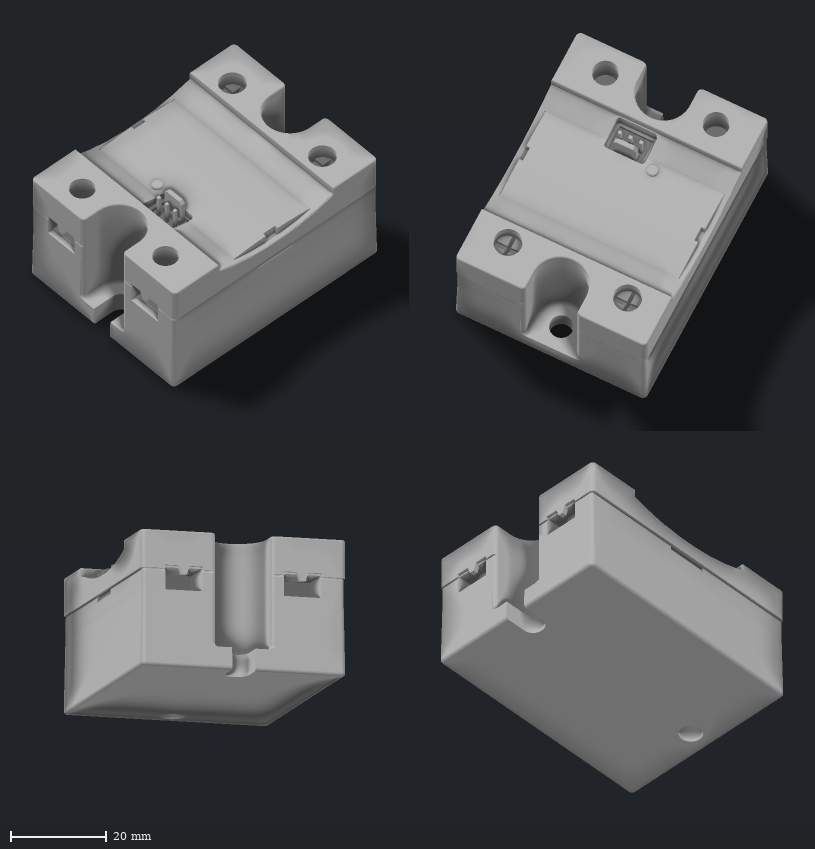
import cadquery as cq
import math

WIDTH = 44.8
LENGTH = 58.2
HOUSING_TOP = 29.1
CORNER_RADIUS = 1.1

COLLAR_BOTTOM = 16.3
SEAM_BOTTOM = 20.4
SEAM_TOP = 20.9
DRAFT_INSET = 0.35
SEAM_CHAMFER = 0.35
BASE_EDGE_FILLET = 0.7
FOOT_HEIGHT = 0.8

LID_LENGTH = LENGTH - 0.5
LID_EDGE_FILLET = 0.4
VALLEY_RIM_FILLET = 0.3

VALLEY_HALF = 16.2
VALLEY_EDGE_Z = 27.2
VALLEY_LOW_Z = 24.55

NOTCH_RADIUS = 6.05
NOTCH_CENTRE_Y = 24.2
NOTCH_FLOOR_Z = 4.75
NOTCH_FLARE = 0.9
NOTCH_FLOOR_FILLET = 1.0
MOUNT_HOLE_DIAMETER = 5.1
MOUNT_HOLE_Y = 23.75

TERMINAL_X = 13.0
TERMINAL_WIDTH = 8.2
TERMINAL_FLOOR_Z = 16.4
TERMINAL_CEILING_Z = 21.65
TERMINAL_INNER_CEILING_Z = 21.25
TERMINAL_LIP_DEPTH = 0.7
TERMINAL_BACK_Y = -19.95
TERMINAL_STEP_DEPTH = 1.75
TERMINAL_STEP_HEIGHT = 0.3
TOOTH_ROOT_WIDTH = 2.45
TOOTH_TIP_WIDTH = 1.1
TOOTH_TIP_Z = 19.8
TOOTH_LENGTH = 1.15
INPUT_HOLE_DIAMETER = 5.65
INPUT_HOLE_Y = -22.8

SCREW_X = 14.0
SCREW_Y = 20.65
SCREW_HOLE_DIAMETER = 6.1
SCREW_HEAD_Z = 25.5
SCREW_SLOT_WIDTH = 1.1
SCREW_SLOT_DEPTH = 0.9
SCREW_GROOVE_WIDTH = 0.9
SCREW_GROOVE_DEPTH = 3.5

PLATE_HALF_WIDTH = 20.95
PLATE_HALF_LENGTH = 10.7
PLATE_CREST_Z = 26.3
PLATE_BOTTOM_Z = 23.85
PLATE_SIDE_GAP = 0.25
PLATE_GAP_DEPTH = 0.3
NICK_LENGTH = 3.3
NICK_WIDTH = 0.9

LAMP_X = -5.25
LAMP_Y = -8.55
LAMP_DIAMETER = 2.6
LAMP_TOP_Z = 26.5
LAMP_EDGE_FILLET = 0.4

SOCKET_X = 1.85
SOCKET_Y = -12.45
SOCKET_WIDTH = 9.55
SOCKET_LENGTH = 7.0
SOCKET_LEDGE_Z = 24.15
SOCKET_FLOOR_Z = 23.3
SOCKET_CORNER_RADIUS = 0.75
INNER_WELL_WIDTH = 7.9
INNER_WELL_LENGTH = 5.95
INNER_WELL_Y = -12.35
TAB_WIDTH = 5.25
TAB_THICKNESS = 1.05
TAB_Y = -10.1
TAB_TOP_Z = 29.6
TAB_CHAMFER = 0.7
TAB_FOOT_THICKNESS = 0.6
TAB_FOOT_TOP_Z = 24.7
PIN_SIZE = 0.75
PIN_PITCH = 2.5
PIN_Y = -12.35
PIN_TOP_Z = 28.7

LATCH_LENGTH = 9.9
LATCH_BOTTOM_Z = 19.3
LATCH_DEPTH = 0.95


def block(width, length, height, x=0.0, y=0.0, z=0.0):
    """Box centred on x, y and standing on z."""
    return cq.Workplane("XY").box(width, length, height, centered=(True, True, False)).translate((x, y, z))


def cylinder(diameter, bottom, top, x, y):
    return cq.Workplane("XY", origin=(x, y, bottom)).circle(diameter / 2).extrude(top - bottom)


def cross_section(points, half_width):
    """Prism along X, centred, from a polygon of (y, z) points."""
    return cq.Workplane("YZ").polyline(points).close().extrude(half_width, both=True)


def base():
    draft_height = COLLAR_BOTTOM - FOOT_HEIGHT
    draft_angle = math.degrees(math.atan(DRAFT_INSET / draft_height))
    foot = block(WIDTH, LENGTH, FOOT_HEIGHT).edges("|Z").fillet(CORNER_RADIUS)
    shell = foot.faces(">Z").wires().toPending().workplane().extrude(draft_height, taper=draft_angle)
    shell = shell.faces("<Z").edges().fillet(BASE_EDGE_FILLET)
    collar_height = SEAM_TOP - COLLAR_BOTTOM
    collar = block(WIDTH - 2 * DRAFT_INSET, LENGTH - 2 * DRAFT_INSET, collar_height, z=COLLAR_BOTTOM)
    collar = collar.edges("|Z").fillet(CORNER_RADIUS - DRAFT_INSET)
    collar = collar.faces(">Z").edges().chamfer(SEAM_TOP - SEAM_BOTTOM, SEAM_CHAMFER)
    return shell.union(collar)


def valley():
    return (
        cq.Workplane("YZ")
        .moveTo(-VALLEY_HALF, HOUSING_TOP)
        .lineTo(-VALLEY_HALF, VALLEY_EDGE_Z)
        .threePointArc((0, VALLEY_LOW_Z), (VALLEY_HALF, VALLEY_EDGE_Z))
        .lineTo(VALLEY_HALF, HOUSING_TOP)
        .close()
        .extrude(WIDTH, both=True)
    )


def notch():
    """U-shaped notch at the -Y end, with a flared mouth."""
    mouth_y = -LENGTH / 2 + DRAFT_INSET
    flare_half = NOTCH_RADIUS + NOTCH_FLARE
    flare_mid = NOTCH_FLARE * (1 - math.sqrt(0.5))
    outside_y = mouth_y - 2 * NOTCH_FLOOR_FILLET
    arc_end_y = mouth_y + NOTCH_FLARE
    profile = (
        cq.Workplane("XY", origin=(0, 0, NOTCH_FLOOR_Z))
        .moveTo(-flare_half, outside_y)
        .lineTo(-flare_half, mouth_y)
        .threePointArc((-NOTCH_RADIUS - flare_mid, mouth_y + flare_mid), (-NOTCH_RADIUS, arc_end_y))
        .lineTo(-NOTCH_RADIUS, -NOTCH_CENTRE_Y)
        .threePointArc((0, NOTCH_RADIUS - NOTCH_CENTRE_Y), (NOTCH_RADIUS, -NOTCH_CENTRE_Y))
        .lineTo(NOTCH_RADIUS, arc_end_y)
        .threePointArc((NOTCH_RADIUS + flare_mid, mouth_y + flare_mid), (flare_half, mouth_y))
        .lineTo(flare_half, outside_y)
        .close()
    )
    return profile.extrude(HOUSING_TOP - NOTCH_FLOOR_Z)


def rounded_notch():
    """The notch with its floor blended into its walls."""
    return notch().faces("<Z").edges("not(<Y)").fillet(NOTCH_FLOOR_FILLET)


def at_both_ends(cutter):
    """The given shape together with its mirror image at the other Y end."""
    return cutter.union(cutter.mirror("XZ"))


def lid():
    body = block(WIDTH, LID_LENGTH, HOUSING_TOP - SEAM_TOP, z=SEAM_TOP)
    body = body.edges("|Z").fillet(CORNER_RADIUS)
    body = body.cut(valley()).cut(at_both_ends(notch()))
    body = body.faces("<X or >X").edges("%CIRCLE").fillet(VALLEY_RIM_FILLET)
    return body.faces(">Z").edges().fillet(LID_EDGE_FILLET)


def mounting_holes():
    rear = cylinder(MOUNT_HOLE_DIAMETER, 0, HOUSING_TOP, 0, MOUNT_HOLE_Y)
    front = cylinder(MOUNT_HOLE_DIAMETER, 0, HOUSING_TOP, 0, -MOUNT_HOLE_Y)
    slot_length = LENGTH - MOUNT_HOLE_Y
    slot = block(MOUNT_HOLE_DIAMETER, slot_length, HOUSING_TOP, y=-MOUNT_HOLE_Y - slot_length / 2)
    return rear.union(front).union(slot)


def terminal(x):
    """Wire opening with a stepped floor and ceiling, reached by a screwdriver hole from above."""
    depth = LENGTH / 2 + TERMINAL_BACK_Y
    inner_height = TERMINAL_INNER_CEILING_Z - TERMINAL_FLOOR_Z
    cavity = block(TERMINAL_WIDTH, depth, inner_height, x, TERMINAL_BACK_Y - depth / 2, TERMINAL_FLOOR_Z)
    mouth_length = LENGTH / 2 - LID_LENGTH / 2 + TERMINAL_LIP_DEPTH
    mouth_height = TERMINAL_CEILING_Z - TERMINAL_FLOOR_Z
    mouth_y = (mouth_length - LENGTH) / 2
    mouth = block(TERMINAL_WIDTH, mouth_length, mouth_height, x, mouth_y, TERMINAL_FLOOR_Z)
    step_length = depth - TERMINAL_STEP_DEPTH
    step_y = TERMINAL_BACK_Y - step_length / 2
    step = block(TERMINAL_WIDTH, step_length, TERMINAL_STEP_HEIGHT, x, step_y, TERMINAL_FLOOR_Z)
    hole_bottom = TERMINAL_FLOOR_Z + TERMINAL_STEP_HEIGHT
    hole = cylinder(INPUT_HOLE_DIAMETER, hole_bottom, HOUSING_TOP, x, INPUT_HOLE_Y)
    return cavity.union(mouth).cut(step).union(hole)


def clamp_tooth(x):
    """Tapered tooth hanging from the lid into the wire opening."""
    return (
        cq.Workplane("XZ", origin=(x, -LID_LENGTH / 2, 0))
        .moveTo(-TOOTH_ROOT_WIDTH / 2, TERMINAL_CEILING_Z)
        .lineTo(-TOOTH_TIP_WIDTH / 2, TOOTH_TIP_Z)
        .lineTo(TOOTH_TIP_WIDTH / 2, TOOTH_TIP_Z)
        .lineTo(TOOTH_ROOT_WIDTH / 2, TERMINAL_CEILING_Z)
        .close()
        .extrude(-TOOTH_LENGTH)
    )


def screw_recess(x):
    """Round hole whose floor is a cross-slotted screw head."""
    half = SCREW_HOLE_DIAMETER / 2
    hole = cylinder(SCREW_HOLE_DIAMETER, SCREW_HEAD_Z, HOUSING_TOP, x, SCREW_Y)
    slot_floor = SCREW_HEAD_Z - SCREW_SLOT_DEPTH
    slot = block(SCREW_HOLE_DIAMETER, SCREW_SLOT_WIDTH, SCREW_SLOT_DEPTH, x, SCREW_Y, slot_floor)
    groove_points = [
        (SCREW_Y - half, SCREW_HEAD_Z),
        (SCREW_Y, SCREW_HEAD_Z - SCREW_GROOVE_DEPTH),
        (SCREW_Y + half, SCREW_HEAD_Z),
    ]
    groove = cross_section(groove_points, SCREW_GROOVE_WIDTH / 2).translate((x, 0, 0))
    return hole.union(slot).union(groove)


def latch_slot(side):
    """Release slot whose face slopes inward up to the lid."""
    face_x = WIDTH / 2 - DRAFT_INSET
    wedge = (
        cq.Workplane("XZ")
        .moveTo(face_x, LATCH_BOTTOM_Z)
        .lineTo(face_x - LATCH_DEPTH, SEAM_TOP)
        .lineTo(WIDTH / 2, SEAM_TOP)
        .lineTo(WIDTH / 2, LATCH_BOTTOM_Z)
        .close()
        .extrude(LATCH_LENGTH / 2, both=True)
    )
    return wedge if side > 0 else wedge.mirror("YZ")


def valley_height(y):
    """Height of the valley surface at a distance y from its lowest line."""
    rise = VALLEY_EDGE_Z - VALLEY_LOW_Z
    radius = (VALLEY_HALF**2 + rise**2) / (2 * rise)
    return VALLEY_LOW_Z + radius - math.sqrt(radius**2 - y**2)


def plate_gap():
    """Shallow recess that leaves a narrow gap along both ends of the label plate."""
    half_width = PLATE_HALF_WIDTH + PLATE_SIDE_GAP
    area = block(2 * half_width, 2 * PLATE_HALF_LENGTH, HOUSING_TOP - PLATE_BOTTOM_Z, z=PLATE_BOTTOM_Z)
    return valley().translate((0, 0, -PLATE_GAP_DEPTH)).intersect(area)


def label_plate():
    edge_z = valley_height(PLATE_HALF_LENGTH)
    plate = (
        cq.Workplane("YZ")
        .moveTo(-PLATE_HALF_LENGTH, PLATE_BOTTOM_Z)
        .lineTo(-PLATE_HALF_LENGTH, edge_z)
        .threePointArc((0, PLATE_CREST_Z), (PLATE_HALF_LENGTH, edge_z))
        .lineTo(PLATE_HALF_LENGTH, PLATE_BOTTOM_Z)
        .close()
        .extrude(PLATE_HALF_WIDTH, both=True)
    )
    nick_x = PLATE_HALF_WIDTH - NICK_WIDTH / 2
    nick = block(NICK_WIDTH, NICK_LENGTH, PLATE_CREST_Z - PLATE_BOTTOM_Z, nick_x, 0, PLATE_BOTTOM_Z)
    return plate.cut(nick).cut(nick.mirror("YZ"))


def lamp():
    post = cylinder(LAMP_DIAMETER, PLATE_BOTTOM_Z, LAMP_TOP_Z, LAMP_X, LAMP_Y)
    return post.faces(">Z").edges().fillet(LAMP_EDGE_FILLET)


def socket():
    """Opening with rounded corners, stepping in to a smaller well at the bottom."""
    opening_depth = HOUSING_TOP - SOCKET_LEDGE_Z
    opening = block(SOCKET_WIDTH, SOCKET_LENGTH, opening_depth, SOCKET_X, SOCKET_Y, SOCKET_LEDGE_Z)
    opening = opening.edges("|Z").fillet(SOCKET_CORNER_RADIUS)
    well_depth = SOCKET_LEDGE_Z - SOCKET_FLOOR_Z
    well = block(INNER_WELL_WIDTH, INNER_WELL_LENGTH, well_depth, SOCKET_X, INNER_WELL_Y, SOCKET_FLOOR_Z)
    return opening.union(well)


def connector():
    """Upright tab on a low foot, with a row of three square pins before it."""
    tab = block(TAB_WIDTH, TAB_THICKNESS, TAB_TOP_Z - SOCKET_FLOOR_Z, SOCKET_X, TAB_Y, SOCKET_FLOOR_Z)
    tab = tab.faces(">Z").edges("<X or >X").chamfer(TAB_CHAMFER)
    foot_y = TAB_Y - (TAB_THICKNESS + TAB_FOOT_THICKNESS) / 2
    foot_height = TAB_FOOT_TOP_Z - SOCKET_FLOOR_Z
    tab = tab.union(block(TAB_WIDTH, TAB_FOOT_THICKNESS, foot_height, SOCKET_X, foot_y, SOCKET_FLOOR_Z))
    for index in (-1, 0, 1):
        pin_x = SOCKET_X + index * PIN_PITCH
        tab = tab.union(block(PIN_SIZE, PIN_SIZE, PIN_TOP_Z - SOCKET_FLOOR_Z, pin_x, PIN_Y, SOCKET_FLOOR_Z))
    return tab


result = base().cut(at_both_ends(rounded_notch())).union(lid())
result = result.cut(mounting_holes())
result = result.cut(plate_gap()).union(label_plate()).union(lamp())
result = result.cut(socket()).union(connector())
for side in (-1, 1):
    result = result.cut(terminal(side * TERMINAL_X)).union(clamp_tooth(side * TERMINAL_X))
    result = result.cut(screw_recess(side * SCREW_X))
    result = result.cut(latch_slot(side))